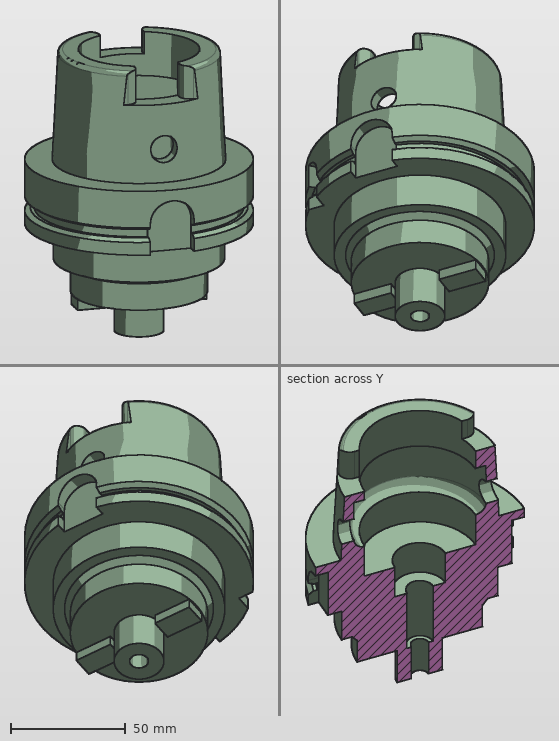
import cadquery as cq
import math


SHANK_HEIGHT = 50.0
SHANK_BASE_DIA = 75.9
SHANK_TAPER = 0.1
RIM_FILLET = 2.0

FLANGE_DIA = 100.0
FLANGE_THICKNESS = 29.0
GROOVE_DEPTH_Z = 20.0
GROOVE_MOUTH_WIDTH = 6.7
GROOVE_FLOOR_WIDTH = 3.8
GROOVE_FLOOR_DIA = 91.6
GROOVE_FLANK_ANGLE = 30

SHOULDER_DIA = 75.0
SHOULDER_DEPTH = 45.0
NOSE_DIA = 60.0
NOSE_DEPTH = 60.0
NECK_DIA = 65.0
NECK_HEIGHT = 3.0
PILOT_DIA = 21.8
PILOT_DEPTH = 78.0

MOUTH_DIA = 53.0
MOUTH_DEPTH = 20.0
CHAMBER_DIA = 63.0
CHAMBER_FILLET_TOP_Z = 9.2
BORE_FLOOR_Z = -12.5
TUBE_SEAT_DIA = 24.0
TUBE_SEAT_BOTTOM_Z = -FLANGE_THICKNESS
SCREW_BORE_DIA = 12.3
SCREW_BORE_BOTTOM_Z = -NOSE_DEPTH
THROUGH_HOLE_DIA = 8.2
CROSS_HOLE_DIA = 12.0
CROSS_HOLE_Z = 15.0

RIM_SLOT_WIDTH = 20.0
RIM_SLOT_CORNER = 5.0
RIM_LAND_LENGTH = 64.0
RIM_SLOT_DEPTH_LEFT = 10.0
RIM_SLOT_DEPTH_RIGHT = 15.0

KEYWAY_WIDTH = 20.0
KEYWAY_TOP_Z = -5.0
KEYWAY_FLOOR_X = 44.0
SIDE_NOTCH_FLOOR_X = 31.6
SIDE_NOTCH_INNER_Y = 31.5

KEY_WIDTH = 10.0
KEY_HEIGHT = 5.0
KEY_INNER_Y = 11.6
KEY_OUTER_Y = 29.5

FLANGE_RADIUS = FLANGE_DIA / 2


def turned_body():
    shank_top_radius = (SHANK_BASE_DIA - SHANK_TAPER * SHANK_HEIGHT) / 2
    groove_floor_radius = GROOVE_FLOOR_DIA / 2
    flank_height = (GROOVE_MOUTH_WIDTH - GROOVE_FLOOR_WIDTH) / 2
    flank_inner_radius = FLANGE_RADIUS - flank_height / math.tan(math.radians(GROOVE_FLANK_ANGLE))
    mouth_top = -GROOVE_DEPTH_Z + GROOVE_MOUTH_WIDTH / 2
    floor_top = -GROOVE_DEPTH_Z + GROOVE_FLOOR_WIDTH / 2
    floor_bottom = floor_top - GROOVE_FLOOR_WIDTH
    mouth_bottom = mouth_top - GROOVE_MOUTH_WIDTH
    neck_bottom = -SHOULDER_DEPTH - NECK_HEIGHT
    outline = [
        (0, SHANK_HEIGHT),
        (shank_top_radius, SHANK_HEIGHT),
        (SHANK_BASE_DIA / 2, 0),
        (FLANGE_RADIUS, 0),
        (FLANGE_RADIUS, mouth_top),
        (flank_inner_radius, floor_top),
        (groove_floor_radius, floor_top),
        (groove_floor_radius, floor_bottom),
        (flank_inner_radius, floor_bottom),
        (FLANGE_RADIUS, mouth_bottom),
        (FLANGE_RADIUS, -FLANGE_THICKNESS),
        (SHOULDER_DIA / 2, -FLANGE_THICKNESS),
        (SHOULDER_DIA / 2, -SHOULDER_DEPTH),
        (NECK_DIA / 2, -SHOULDER_DEPTH),
        (NOSE_DIA / 2, neck_bottom),
        (NOSE_DIA / 2, -NOSE_DEPTH),
        (PILOT_DIA / 2, -NOSE_DEPTH),
        (PILOT_DIA / 2, -PILOT_DEPTH),
        (0, -PILOT_DEPTH),
    ]
    body = cq.Workplane("XZ").polyline(outline).close().revolve(360, (0, 0), (0, 1))
    return body.faces(">Z").edges().fillet(RIM_FILLET)


def inner_cavity():
    """Clamping bore with a wider chamber behind its mouth, and the stepped hole along the axis."""
    mouth_radius = MOUTH_DIA / 2
    chamber_radius = CHAMBER_DIA / 2
    mouth_bottom = SHANK_HEIGHT - MOUTH_DEPTH
    fillet_radius = chamber_radius - mouth_radius
    fillet_end_z = CHAMBER_FILLET_TOP_Z - fillet_radius
    arc_mid = fillet_radius * math.sqrt(0.5)
    arc_mid_point = (mouth_radius + arc_mid, CHAMBER_FILLET_TOP_Z - arc_mid)
    return (
        cq.Workplane("XZ")
        .moveTo(0, SHANK_HEIGHT)
        .lineTo(mouth_radius, SHANK_HEIGHT)
        .lineTo(mouth_radius, mouth_bottom)
        .lineTo(chamber_radius, mouth_bottom)
        .lineTo(chamber_radius, CHAMBER_FILLET_TOP_Z)
        .threePointArc(arc_mid_point, (mouth_radius, fillet_end_z))
        .lineTo(mouth_radius, BORE_FLOOR_Z)
        .lineTo(TUBE_SEAT_DIA / 2, BORE_FLOOR_Z)
        .lineTo(TUBE_SEAT_DIA / 2, TUBE_SEAT_BOTTOM_Z)
        .lineTo(SCREW_BORE_DIA / 2, TUBE_SEAT_BOTTOM_Z)
        .lineTo(SCREW_BORE_DIA / 2, SCREW_BORE_BOTTOM_Z)
        .lineTo(THROUGH_HOLE_DIA / 2, SCREW_BORE_BOTTOM_Z)
        .lineTo(THROUGH_HOLE_DIA / 2, -PILOT_DEPTH)
        .lineTo(0, -PILOT_DEPTH)
        .close()
        .revolve(360, (0, 0), (0, 1))
    )


def cross_hole():
    """Hole through both shank walls along X."""
    return (
        cq.Workplane("YZ")
        .center(0, CROSS_HOLE_Z)
        .circle(CROSS_HOLE_DIA / 2)
        .extrude(FLANGE_RADIUS, both=True)
    )


def rim_slot(side, depth):
    """Rim slot open towards X = side, flaring with rounded corners to the full shank width."""
    half_width = RIM_SLOT_WIDTH / 2
    land_end = side * RIM_LAND_LENGTH / 2
    corner_start = land_end - side * RIM_SLOT_CORNER
    corner_y = half_width + RIM_SLOT_CORNER
    outside = side * FLANGE_RADIUS
    arc_mid = RIM_SLOT_CORNER * math.sqrt(0.5)
    arc_mid_x = corner_start + side * arc_mid
    arc_mid_y = corner_y - arc_mid
    return (
        cq.Workplane("XY", origin=(0, 0, SHANK_HEIGHT - depth))
        .moveTo(0, half_width)
        .lineTo(corner_start, half_width)
        .threePointArc((arc_mid_x, arc_mid_y), (land_end, corner_y))
        .lineTo(land_end, FLANGE_RADIUS)
        .lineTo(outside, FLANGE_RADIUS)
        .lineTo(outside, -FLANGE_RADIUS)
        .lineTo(land_end, -FLANGE_RADIUS)
        .lineTo(land_end, -corner_y)
        .threePointArc((arc_mid_x, -arc_mid_y), (corner_start, -half_width))
        .lineTo(0, -half_width)
        .close()
        .extrude(depth)
    )


def flange_slot(side, floor_x, centre_y):
    """Round-topped slot milled into the flange along X, open at its lower face."""
    half_width = KEYWAY_WIDTH / 2
    arc_z = KEYWAY_TOP_Z - half_width
    return (
        cq.Workplane("YZ", origin=(side * floor_x, centre_y, 0))
        .moveTo(-half_width, -FLANGE_THICKNESS)
        .lineTo(-half_width, arc_z)
        .threePointArc((0, KEYWAY_TOP_Z), (half_width, arc_z))
        .lineTo(half_width, -FLANGE_THICKNESS)
        .close()
        .extrude(side * FLANGE_RADIUS)
    )


def drive_key(side):
    """Rectangular key under the nose, standing clear of the pilot on the Y = side half."""
    key_length = KEY_OUTER_Y - KEY_INNER_Y
    key_centre_y = side * (KEY_OUTER_Y + KEY_INNER_Y) / 2
    return (
        cq.Workplane("XY", origin=(0, key_centre_y, -NOSE_DEPTH))
        .rect(KEY_WIDTH, key_length)
        .extrude(-KEY_HEIGHT)
    )


result = turned_body().cut(inner_cavity()).cut(cross_hole())

result = result.cut(rim_slot(-1, RIM_SLOT_DEPTH_LEFT))
result = result.cut(rim_slot(1, RIM_SLOT_DEPTH_RIGHT))

for side in (-1, 1):
    result = result.cut(flange_slot(side, KEYWAY_FLOOR_X, 0))
    result = result.union(drive_key(side))

side_notch_centre_y = SIDE_NOTCH_INNER_Y + KEYWAY_WIDTH / 2
result = result.cut(flange_slot(-1, SIDE_NOTCH_FLOOR_X, side_notch_centre_y))